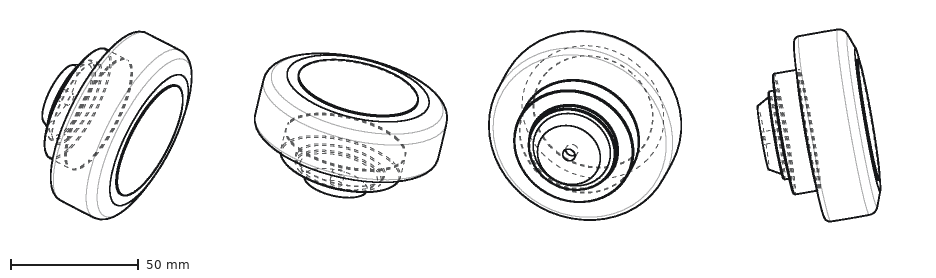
import cadquery as cq
import math

total_length = 42.0
flange_front = 5.1
hub_front = 8.0
wheel_front = 18.4
wheel_back = 41.5

nose_front_radius = 12.6
nose_back_radius = 15.5
flange_radius = 35.0 / 2
hub_radius = 48.0 / 2
wheel_radius = 36.9

edge_chamfer = 0.45
flare_radius = flange_radius + edge_chamfer
groove_width = 0.4
groove_depth = 0.2
groove_back = wheel_front - edge_chamfer

front_round = 2.1
crown_drop = 0.1
tread_edge_radius = wheel_radius - crown_drop
tread_front = wheel_front + front_round
tread_back = 35.75
back_round = 3.75
back_cone_angle = math.radians(69.4)
back_cone_outer_radius = tread_edge_radius - back_round * (1 - math.cos(back_cone_angle))
back_cone_start = tread_back + back_round * math.sin(back_cone_angle)
back_face_radius = back_cone_outer_radius - (wheel_back - back_cone_start) * math.tan(back_cone_angle)

hole_diameter = 4.95
hole_depth = 4.95


def arc_midpoint(center_x, center_radius, arc_radius, angle):
    """Point on a round at the given angle from the radial direction, positive towards +X."""
    return (
        center_x + arc_radius * math.sin(angle),
        center_radius + arc_radius * math.cos(angle),
    )


def revolved_body():
    """Nose, flange, hub and wheel as one half profile turned about X."""
    front_round_middle = arc_midpoint(
        tread_front, tread_edge_radius - front_round, front_round, -math.pi / 4
    )
    back_round_middle = arc_midpoint(
        tread_back, tread_edge_radius - back_round, back_round, back_cone_angle / 2
    )
    profile = (
        cq.Workplane("XY")
        .moveTo(0, 0)
        .lineTo(0, nose_front_radius)
        .lineTo(flange_front, nose_back_radius)
        .lineTo(flange_front, flange_radius - edge_chamfer)
        .lineTo(flange_front + edge_chamfer, flange_radius)
        .lineTo(hub_front - edge_chamfer, flange_radius)
        .lineTo(hub_front, flare_radius)
        .lineTo(hub_front, hub_radius - edge_chamfer)
        .lineTo(hub_front + edge_chamfer, hub_radius)
        .lineTo(groove_back - groove_width, hub_radius)
        .lineTo(groove_back - groove_width / 2, hub_radius - groove_depth)
        .lineTo(groove_back, hub_radius)
        .lineTo(wheel_front, hub_radius)
        .lineTo(wheel_front, tread_edge_radius - front_round)
        .threePointArc(front_round_middle, (tread_front, tread_edge_radius))
        .threePointArc(((tread_front + tread_back) / 2, wheel_radius), (tread_back, tread_edge_radius))
        .threePointArc(back_round_middle, (back_cone_start, back_cone_outer_radius))
        .lineTo(wheel_back, back_face_radius)
        .lineTo(wheel_back, hub_radius)
        .lineTo(total_length - edge_chamfer / 2, hub_radius)
        .lineTo(total_length, hub_radius - edge_chamfer / 2)
        .lineTo(total_length, 0)
        .close()
    )
    return profile.revolve(360, (0, 0, 0), (1, 0, 0))


def nose_hole():
    """Blind hole on the axis, open at the front face."""
    return cq.Workplane("YZ").circle(hole_diameter / 2).extrude(hole_depth)


result = revolved_body().cut(nose_hole())